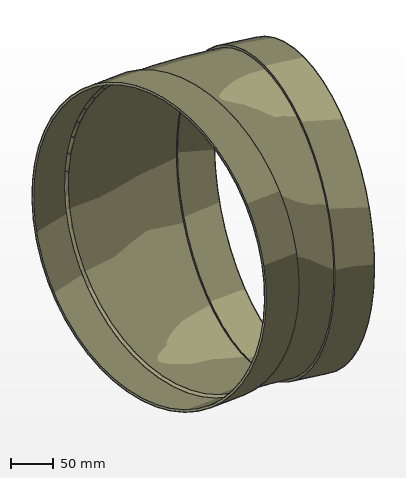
import cadquery as cq
import math

SOCKET_DIAMETER = 406.5
WALL = 3.2
SOCKET_LENGTH = 53.0
BEND_RADIUS = 402.5
BEND_ANGLE = 15

bend_diameter = SOCKET_DIAMETER - 2 * WALL
bend_bore = bend_diameter - 2 * WALL

angle = math.radians(BEND_ANGLE)
bend_start = (0, SOCKET_LENGTH, 0)
bend_end = (BEND_RADIUS * (1 - math.cos(angle)), SOCKET_LENGTH + BEND_RADIUS * math.sin(angle), 0)
bend_end_direction = (math.sin(angle), math.cos(angle), 0)


def bend(diameter):
    """Solid round bend turning from +Y toward +X about an axis parallel to Z."""
    return (
        cq.Workplane(cq.Plane(origin=bend_start, xDir=(1, 0, 0), normal=(0, 1, 0)))
        .circle(diameter / 2)
        .revolve(BEND_ANGLE, (BEND_RADIUS, 0), (BEND_RADIUS, 1))
    )


def socket(start, direction):
    """Straight socket tube from a bend end, with a rounded lip stepping out from the bend bore."""
    outer = SOCKET_DIAMETER / 2
    socket_bore_radius = outer - WALL
    bend_bore_radius = bend_bore / 2
    lip_middle = (bend_bore_radius + WALL * (1 - math.cos(math.pi / 4)), WALL * math.sin(math.pi / 4))
    along = cq.Vector(*direction)
    across = cq.Vector(0, 0, 1)
    plane = cq.Plane(origin=start, xDir=across, normal=across.cross(along))
    return (
        cq.Workplane(plane)
        .moveTo(bend_bore_radius, 0)
        .lineTo(outer, 0)
        .lineTo(outer, SOCKET_LENGTH)
        .lineTo(socket_bore_radius, SOCKET_LENGTH)
        .lineTo(socket_bore_radius, WALL)
        .threePointArc(lip_middle, (bend_bore_radius, 0))
        .close()
        .revolve(360, (0, 0), (0, 1))
    )


body = bend(bend_diameter).cut(bend(bend_bore))
near_socket = socket(bend_start, (0, -1, 0))
far_socket = socket(bend_end, bend_end_direction)

result = body.union(near_socket).union(far_socket)